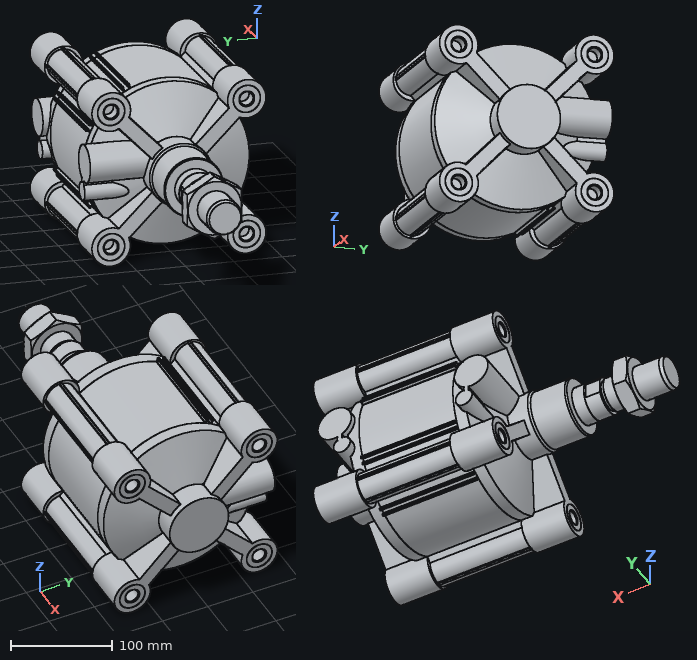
import cadquery as cq
import math

tip_x = 0.0
boss_front_x = 102.0
collar_front_x = 145.2
front_cap_x = 151.7
cap_length = 48.5
rear_cap_x = 356.0
hub_end_x = 363.0
mid_x = (front_cap_x + rear_cap_x) / 2
barrel_front_x = front_cap_x + cap_length
barrel_rear_x = rear_cap_x - cap_length
barrel_length = barrel_rear_x - barrel_front_x

overall_height = 180.0
cap_diameter = 168.0
cone_start = 17.0
cone_end = 36.0
hub_diameter = 65.0
post_diameter = 40.0
post_offset = (overall_height - post_diameter) / 2
rib_width = 15.2
boss_diameter = 61.0
boss_chamfer = 2.0
boss_lip = 0.7

screw_recess_diameter = 28.0
screw_recess_depth = 0.5
screw_hole_diameter = 13.8
screw_hole_mouth = 16.0
screw_hole_depth = 14.5

port_diameter = 38.5
port_inset = 24.5
port_z = 11.0
port_reach = overall_height / 2
cushion_diameter = 19.0
cushion_inset = 32.5
cushion_z = -20.5
port_web_inset = 27.5

barrel_diameter = cap_diameter
tube_diameter = 32.0
tube_offset = 71.0
web_width = 24.0
bead_width = 3.0
bead_height = 1.0

rail_angles = (-63, -27, 27, 63)
rail_spacing = 6.5
rail_thickness = 1.0
rail_head_width = 2.0
rail_head_thickness = 1.0
rail_top = 88.5
rail_root = barrel_diameter / 2 - 3.5

rod_diameter = 40.0
neck_diameter = 39.5
neck_x = 71.0
neck_end_x = 88.5
flats_end_x = 87.0
flats_across = 36.0
thread_diameter = 36.0
thread_tip_diameter = 32.5
thread_chamfer = 4.0
thread_end_x = 68.5
groove_diameter = 32.0
thread_relief = 1.0

nut_x = 34.0
nut_thickness = 17.8
nut_across_flats = 56.3
nut_across_corners = nut_across_flats / math.cos(math.pi / 6)
nut_chamfer = 1.8
nut_face_diameter = 55.0

corner_signs = [(sy, sz) for sy in (-1, 1) for sz in (-1, 1)]


def cylinder_x(diameter, x_start, x_end, y=0.0, z=0.0):
    """Cylinder parallel to X."""
    plane = cq.Workplane("YZ", origin=(x_start, y, z))
    return plane.circle(diameter / 2).extrude(x_end - x_start)


def revolve_x(points):
    """Solid of revolution about X from (x, radius) points."""
    return cq.Workplane("XY").polyline(points).close().revolve(360, (0, 0, 0), (1, 0, 0))


def diagonal_web(x_start, x_end, width):
    """Flat bars along both diagonals, reaching from the axis to the corner centres."""
    length = 2 * math.sqrt(2) * post_offset
    plane = cq.Workplane("YZ", origin=(x_start, 0, 0))
    bar = plane.rect(length, width).extrude(x_end - x_start)
    rising = bar.rotate((0, 0, 0), (1, 0, 0), 45)
    falling = bar.rotate((0, 0, 0), (1, 0, 0), -45)
    return rising.union(falling)


def add_port_and_cushion(cap):
    """Add the air port, the cushion screw boss and the web between them, all along +Y."""
    for diameter, inset, z in (
        (port_diameter, port_inset, port_z),
        (cushion_diameter, cushion_inset, cushion_z),
    ):
        plane = cq.Workplane("XZ", origin=(front_cap_x + inset, 0, z))
        cap = cap.union(plane.circle(diameter / 2).extrude(-port_reach))
    web = cq.Workplane("XY").box(
        cushion_inset - port_web_inset, port_reach, port_z - cushion_z, centered=False)
    return cap.union(web.translate((front_cap_x + port_web_inset, 0, cushion_z)))


def screw_hole(y, z):
    """Recess and blind screw hole in the outer face of one post."""
    recess_floor = front_cap_x + screw_recess_depth
    recess = cylinder_x(screw_recess_diameter, front_cap_x, recess_floor, y, z)
    hole_end = recess_floor + screw_hole_depth
    hole = cylinder_x(screw_hole_diameter, recess_floor, hole_end, y, z)
    mouth = (screw_hole_mouth - screw_hole_diameter) / 2
    countersink = (
        cq.Workplane("YZ", origin=(recess_floor, y, z))
        .circle(screw_hole_mouth / 2)
        .workplane(offset=mouth)
        .circle(screw_hole_diameter / 2)
        .loft()
    )
    return recess.union(hole).union(countersink)


def make_cap():
    """End cap, placed as the front one, without the guide boss and rod bore."""
    cap = revolve_x([
        (front_cap_x, 0),
        (front_cap_x, hub_diameter / 2),
        (front_cap_x + cone_start, hub_diameter / 2),
        (front_cap_x + cone_end, cap_diameter / 2),
        (barrel_front_x, cap_diameter / 2),
        (barrel_front_x, 0),
    ])
    cap = cap.union(diagonal_web(front_cap_x, barrel_front_x, rib_width))
    posts = [(sy * post_offset, sz * post_offset) for sy, sz in corner_signs]
    for y, z in posts:
        cap = cap.union(cylinder_x(post_diameter, front_cap_x, barrel_front_x, y, z))
    cap = add_port_and_cushion(cap)
    for y, z in posts:
        cap = cap.cut(screw_hole(y, z))
    return cap


def make_front_cap():
    """Front cap with the guide boss and the bore for the piston rod."""
    boss = revolve_x([
        (boss_front_x, 0),
        (boss_front_x, boss_diameter / 2 - boss_lip),
        (boss_front_x + boss_chamfer, boss_diameter / 2),
        (collar_front_x - boss_chamfer, boss_diameter / 2),
        (collar_front_x, hub_diameter / 2),
        (front_cap_x, hub_diameter / 2),
        (front_cap_x, 0),
    ])
    bore = cylinder_x(rod_diameter, boss_front_x, barrel_front_x)
    return make_cap().union(boss).cut(bore)


def make_rear_cap():
    """Rear cap: the mirrored end cap with a short plain hub."""
    cap = make_cap().mirror("YZ", (mid_x, 0, 0))
    return cap.union(cylinder_x(hub_diameter, rear_cap_x, hub_end_x))


def barrel_bar(y, z, width_y, width_z):
    """Rectangular bar as long as the barrel, centred on (y, z)."""
    plane = cq.Workplane("YZ", origin=(barrel_front_x, y, z))
    return plane.rect(width_y, width_z).extrude(barrel_length)


def rail_pair(angle):
    """Two parallel T-shaped sensor rails, pointing outward at an angle from +Y towards +Z."""
    stem_height = rail_top - rail_root
    stem_y = rail_root + stem_height / 2
    head_y = rail_top - rail_head_thickness / 2
    pair = cq.Workplane("YZ")
    for z in (-rail_spacing / 2, rail_spacing / 2):
        pair = pair.union(barrel_bar(stem_y, z, stem_height, rail_thickness))
        pair = pair.union(barrel_bar(head_y, z, rail_head_thickness, rail_head_width))
    return pair.rotate((0, 0, 0), (1, 0, 0), angle)


def make_barrel():
    """Barrel with a beaded tie-rod tube at each corner and sensor rails on the +Y side."""
    barrel = cylinder_x(barrel_diameter, barrel_front_x, barrel_rear_x)
    barrel = barrel.union(diagonal_web(barrel_front_x, barrel_rear_x, web_width))
    crown = tube_diameter / 2
    for sy, sz in corner_signs:
        y = sy * tube_offset
        z = sz * tube_offset
        barrel = barrel.union(cylinder_x(tube_diameter, barrel_front_x, barrel_rear_x, y, z))
        barrel = barrel.union(barrel_bar(y + sy * crown, z, 2 * bead_height, bead_width))
        barrel = barrel.union(barrel_bar(y, z + sz * crown, bead_width, 2 * bead_height))
    for angle in rail_angles:
        barrel = barrel.union(rail_pair(angle))
    return barrel


def make_rod():
    """Piston rod with a threaded end, an undercut and two spanner flats."""
    rod = revolve_x([
        (tip_x, 0),
        (tip_x, thread_tip_diameter / 2),
        (tip_x + thread_chamfer, thread_diameter / 2),
        (thread_end_x - thread_relief, thread_diameter / 2),
        (thread_end_x, groove_diameter / 2),
        (neck_x, groove_diameter / 2),
        (neck_x, neck_diameter / 2),
        (neck_end_x, neck_diameter / 2),
        (neck_end_x, rod_diameter / 2),
        (barrel_front_x, rod_diameter / 2),
        (barrel_front_x, 0),
    ])
    for side in (-1, 1):
        flat_y = side * flats_across / 2
        surface_y = side * rod_diameter / 2
        flat = (
            cq.Workplane("XY", origin=(0, 0, -rod_diameter / 2))
            .polyline([
                (neck_x, flat_y),
                (flats_end_x, flat_y),
                (neck_end_x, surface_y),
                (neck_x, surface_y),
            ])
            .close()
            .extrude(rod_diameter)
        )
        rod = rod.cut(flat)
    return rod


def make_nut():
    """Hexagon nut with corners up and down and both faces chamfered."""
    plane = cq.Workplane("YZ", origin=(nut_x, 0, 0)).transformed(rotate=(0, 0, 90))
    hexagon = plane.polygon(6, nut_across_corners).extrude(nut_thickness)
    face_radius = nut_face_diameter / 2
    corner_radius = nut_across_corners / 2
    nut_end_x = nut_x + nut_thickness
    envelope = revolve_x([
        (nut_x, 0),
        (nut_x, face_radius),
        (nut_x + nut_chamfer, corner_radius),
        (nut_end_x - nut_chamfer, corner_radius),
        (nut_end_x, face_radius),
        (nut_end_x, 0),
    ])
    return hexagon.intersect(envelope).cut(cylinder_x(thread_diameter, nut_x, nut_end_x))


front_cap = make_front_cap()
rear_cap = make_rear_cap()
barrel = make_barrel()
piston_rod = make_rod()
lock_nut = make_nut()

result = cq.Compound.makeCompound([
    front_cap.val(),
    rear_cap.val(),
    barrel.val(),
    piston_rod.val(),
    lock_nut.val(),
])